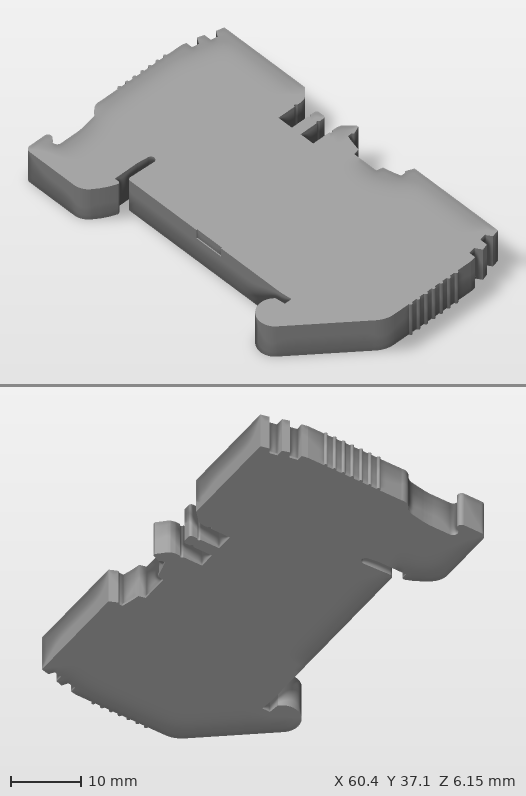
import cadquery as cq
import math

THICKNESS = 6.15
HEIGHT = 37.07
LEFT_WALL = 0.58
RIGHT_WALL = 60.0
BODY_MIDDLE = (LEFT_WALL + RIGHT_WALL) / 2
SHOULDER = 31.05
RAIL_SEAT = 6.3

TOOTH_COUNT = 7
TOOTH_PITCH = 1.5
TOOTH_TOP_Y = 27.1
TOOTH_BASE = 0.6
TOOTH_HEIGHT = 0.35
FLANK_MIDDLE_OUT = 0.25
FLANK_MIDDLE_OFF = 0.21

SLOT_FLOOR = 30.15
SLOT_LEFT = 20.55
POST_LEFT = 23.27
POST_RIGHT = 25.09
SLOT_RIGHT = 27.64
POST_TOP = 35.07
POST_CORNER = 0.45
DENT_Y = 33.6
DENT_RADIUS = 0.27

LEFT_MOUTH = [(18.75, HEIGHT), (20.15, 35.75), (20.4, 35.4), (SLOT_LEFT, 34.7)]
RIGHT_MOUTH = [(SLOT_RIGHT, 34.7), (27.8, 35.4), (28.05, 35.75), (29.35, HEIGHT)]

SADDLE_X = 35.45
SADDLE_MOUTH = 5.75
SADDLE_LIP = 5.2
SADDLE_SEAT = 5.45
POCKET_TOP = 2.5
POCKET_FLOOR = 2.25
LIP_Y = 35.75
SEAT_TOP_Y = 35.4
SEAT_OUTER_Y = 34.9
SEAT_INNER_Y = 34.15
POCKET_FLOOR_Y = 33.07
SEAT_RADIUS = 15.0

LIP_THICKNESS = 0.36
LIP_WIDTH = 0.18

FOOT_CORNER = 0.9
BUMP_RADIUS = 0.67
BUMP_Y = 3.83
PIT_RADIUS = 0.75
FOOT_NECK = 2.72
FOOT_TOP = 5.05
FOOT_LENGTH = 10.0
SOLE_CURVE_MIDDLE = (11.2, 0.28)
SOLE_CURVE_END = (12.2, 1.07)
TOE_CURVE_MIDDLE = (13.3, 2.7)
TOE_TIP = [(14.0, FOOT_TOP), (14.2, 4.7)]

NECK_TOP_Y = 7.4
NECK_CURVE_END = (2.6, 9.0)
WAIST_START = (2.2, 11.2)
WAIST_TURN = (1.3, 12.48)
WAIST_END = (LEFT_WALL, 14.1)

RELIEF_LEFT = 13.1
RELIEF_RADIUS = 0.63
RELIEF_X = 13.95
RELIEF_Y = 11.34
RELIEF_TAPER_Y = 9.6
RAIL_CORNER = (14.4, RAIL_SEAT)
RAIL_CORNER_RADIUS = 0.5

HOOK_X = 47.95
HOOK_Y = 2.98
HOOK_RADIUS = 2.8
HOOK_SLOPE = 50.5
HOOK_NOSE_ANGLE = 134.0
HOOK_MIDDLE_ANGLE = -130.0
FLANK_END = (59.0, 12.15)
WALL_END_Y = 14.9
HOOK_THROAT_X = 47.7
HOOK_THROAT_Y = 5.2
RAMP_START_X = 45.8
RAMP_RISE = 0.22

RECESS_LEFT = 28.5
RECESS_LENGTH = 5.0
RECESS_HEIGHT = 1.67
RECESS_DEPTH = 0.18

LOWER_NOTCH = ((1.75, SHOULDER), (1.98, 32.3))
UPPER_NOTCH = ((2.55, 33.98), (2.8, 35.2))
CORNER_STEPS = [
    (LEFT_WALL, 30.1),
    (0.75, SHOULDER),
    *LOWER_NOTCH,
    (1.05, 32.88),
    (1.4, 33.98),
    *UPPER_NOTCH,
    (1.98, 35.75),
    (2.3, HEIGHT),
]


def mirrored(points):
    """Mirror points about the middle of the body and reverse their order."""
    return [(2 * BODY_MIDDLE - x, y) for x, y in reversed(points)]


def on_circle(x, y, radius, angle):
    """Point on a circle at an angle given in degrees."""
    turn = math.radians(angle)
    return (x + radius * math.cos(turn), y + radius * math.sin(turn))


def add_lines(sketch, points):
    """Draw straight lines through a list of points."""
    for point in points:
        sketch = sketch.lineTo(*point)
    return sketch


def saddle_point(half_width, y):
    """Point at a signed distance from the middle of the saddle."""
    return (SADDLE_X + half_width, y)


def add_seat(sketch, drop):
    """Draw the curved seat and its pocket from left to right, lowered by drop."""
    circle_y = SEAT_INNER_Y + math.sqrt(SEAT_RADIUS**2 - POCKET_TOP**2)
    middle = (SADDLE_SEAT + POCKET_TOP) / 2
    middle_y = circle_y - math.sqrt(SEAT_RADIUS**2 - middle**2)
    return (
        sketch.lineTo(*saddle_point(-SADDLE_SEAT, SEAT_OUTER_Y - drop))
        .threePointArc(
            saddle_point(-middle, middle_y - drop),
            saddle_point(-POCKET_TOP, SEAT_INNER_Y - drop),
        )
        .lineTo(*saddle_point(-POCKET_FLOOR, POCKET_FLOOR_Y - drop))
        .lineTo(*saddle_point(POCKET_FLOOR, POCKET_FLOOR_Y - drop))
        .lineTo(*saddle_point(POCKET_TOP, SEAT_INNER_Y - drop))
        .threePointArc(
            saddle_point(middle, middle_y - drop),
            saddle_point(SADDLE_SEAT, SEAT_OUTER_Y - drop),
        )
    )


def add_saddle(sketch):
    """Draw the saddle from its left mouth corner to its right mouth corner."""
    sketch = (
        sketch.lineTo(*saddle_point(-SADDLE_MOUTH, HEIGHT))
        .lineTo(*saddle_point(-SADDLE_LIP, LIP_Y))
        .lineTo(*saddle_point(-SADDLE_SEAT, SEAT_TOP_Y))
    )
    return (
        add_seat(sketch, 0)
        .lineTo(*saddle_point(SADDLE_SEAT, SEAT_TOP_Y))
        .lineTo(*saddle_point(SADDLE_LIP, LIP_Y))
        .lineTo(*saddle_point(SADDLE_MOUTH, HEIGHT))
    )


def add_upper_edge(sketch):
    """Draw from the left wall over the slots and the saddle to the right wall."""
    sketch = add_lines(sketch, CORNER_STEPS + LEFT_MOUTH)
    sketch = (
        sketch.lineTo(SLOT_LEFT, SLOT_FLOOR)
        .lineTo(POST_LEFT, SLOT_FLOOR)
        .lineTo(POST_LEFT, POST_TOP - POST_CORNER)
        .tangentArcPoint((POST_LEFT + POST_CORNER, POST_TOP), relative=False)
        .lineTo(POST_RIGHT - POST_CORNER, POST_TOP)
        .tangentArcPoint((POST_RIGHT, POST_TOP - POST_CORNER), relative=False)
        .lineTo(POST_RIGHT, SLOT_FLOOR)
        .lineTo(SLOT_RIGHT, SLOT_FLOOR)
    )
    sketch = add_saddle(add_lines(sketch, RIGHT_MOUTH))
    return add_lines(sketch, mirrored(CORNER_STEPS))


def add_hook(sketch):
    """Draw from the right wall down around the rail hook to the straight underside."""
    return (
        sketch.lineTo(RIGHT_WALL, WALL_END_Y)
        .tangentArcPoint(FLANK_END, relative=False)
        .lineTo(*on_circle(HOOK_X, HOOK_Y, HOOK_RADIUS, HOOK_SLOPE - 90))
        .threePointArc(
            on_circle(HOOK_X, HOOK_Y, HOOK_RADIUS, HOOK_MIDDLE_ANGLE),
            on_circle(HOOK_X, HOOK_Y, HOOK_RADIUS, HOOK_NOSE_ANGLE),
        )
        .lineTo(HOOK_THROAT_X, HOOK_THROAT_Y)
        .lineTo(HOOK_THROAT_X, RAIL_SEAT + RAMP_RISE)
        .lineTo(RAMP_START_X, RAIL_SEAT)
    )


def add_foot(sketch):
    """Draw from the straight underside around the relief slot and the foot."""
    rail_x, rail_y = RAIL_CORNER
    pit_x = FOOT_NECK - PIT_RADIUS
    pit_y = BUMP_Y + math.sqrt((BUMP_RADIUS + PIT_RADIUS) ** 2 - (pit_x - BUMP_RADIUS) ** 2)
    pit_angle = math.degrees(math.atan2(pit_y - BUMP_Y, pit_x - BUMP_RADIUS))
    return (
        sketch.lineTo(rail_x + RAIL_CORNER_RADIUS, rail_y)
        .tangentArcPoint((rail_x, rail_y + RAIL_CORNER_RADIUS), relative=False)
        .lineTo(RELIEF_X + RELIEF_RADIUS, RELIEF_Y)
        .threePointArc((RELIEF_X, RELIEF_Y + RELIEF_RADIUS), (RELIEF_X - RELIEF_RADIUS, RELIEF_Y))
        .lineTo(RELIEF_LEFT, RELIEF_TAPER_Y)
        .lineTo(RELIEF_LEFT, FOOT_TOP)
        .lineTo(*TOE_TIP[0])
        .lineTo(*TOE_TIP[1])
        .threePointArc(TOE_CURVE_MIDDLE, SOLE_CURVE_END)
        .threePointArc(SOLE_CURVE_MIDDLE, (FOOT_LENGTH, 0))
        .lineTo(FOOT_CORNER, 0)
        .tangentArcPoint((0, FOOT_CORNER), relative=False)
        .lineTo(0, BUMP_Y)
        .threePointArc(
            (BUMP_RADIUS, BUMP_Y + BUMP_RADIUS),
            on_circle(BUMP_RADIUS, BUMP_Y, BUMP_RADIUS, pit_angle),
        )
        .threePointArc((pit_x, pit_y - PIT_RADIUS), (FOOT_NECK, pit_y))
        .lineTo(FOOT_NECK, NECK_TOP_Y)
        .tangentArcPoint(NECK_CURVE_END, relative=False)
        .lineTo(*WAIST_START)
        .tangentArcPoint(WAIST_TURN, relative=False)
        .tangentArcPoint(WAIST_END, relative=False)
        .close()
    )


def make_body():
    sketch = cq.Workplane("XY").moveTo(*WAIST_END)
    return add_foot(add_hook(add_upper_edge(sketch))).extrude(THICKNESS)


def make_tooth(wall_x, y, outward):
    """Pointed tooth with bulging flanks; outward is -1 on the left wall and 1 on the right."""
    root_x = wall_x - outward * TOOTH_HEIGHT
    middle_x = wall_x + outward * FLANK_MIDDLE_OUT
    tip = (wall_x + outward * TOOTH_HEIGHT, y)
    low = y - TOOTH_BASE / 2
    high = y + TOOTH_BASE / 2
    return (
        cq.Workplane("XY")
        .moveTo(root_x, low)
        .lineTo(wall_x, low)
        .threePointArc((middle_x, y - FLANK_MIDDLE_OFF), tip)
        .threePointArc((middle_x, y + FLANK_MIDDLE_OFF), (wall_x, high))
        .lineTo(root_x, high)
        .close()
        .extrude(THICKNESS)
    )


def add_teeth(body):
    """Row of grip teeth on each side wall."""
    for index in range(TOOTH_COUNT):
        y = TOOTH_TOP_Y - index * TOOTH_PITCH
        body = body.union(make_tooth(LEFT_WALL, y, -1))
        body = body.union(make_tooth(RIGHT_WALL, y, 1))
    return body


def cut_dents(body):
    """Round latch dents in both walls of the two slots."""
    centers = [(x, DENT_Y) for x in (SLOT_LEFT, POST_LEFT, POST_RIGHT, SLOT_RIGHT)]
    return body.cut(cq.Workplane("XY").pushPoints(centers).circle(DENT_RADIUS).extrude(THICKNESS))


def lip_plane():
    """Workplane on the upper side of the thin bottom lip."""
    return cq.Workplane("XY", origin=(0, 0, LIP_THICKNESS))


def cut_above_lip(body, outline):
    """Cut an outline through everything above the thin bottom lip."""
    return body.cut(outline.extrude(THICKNESS - LIP_THICKNESS))


def cut_saddle_lip(body):
    """Lower the seat and the pocket floor by the lip width."""
    start = lip_plane().moveTo(*saddle_point(-SADDLE_SEAT, SEAT_OUTER_Y))
    outline = add_seat(start, LIP_WIDTH).lineTo(*saddle_point(SADDLE_SEAT, SEAT_OUTER_Y)).close()
    return cut_above_lip(body, outline)


def cut_notch_lips(body):
    """Set the walls of the four corner notches back by the lip width."""
    for low, high in (LOWER_NOTCH, UPPER_NOTCH):
        wall = [low, (low[0] + LIP_WIDTH, low[1]), (high[0] + LIP_WIDTH, high[1]), high]
        for outline in (wall, mirrored(wall)):
            body = cut_above_lip(body, lip_plane().polyline(outline).close())
    return body


def cut_underside_recess(body):
    recess = cq.Workplane("XY").box(RECESS_LENGTH, RECESS_DEPTH, RECESS_HEIGHT, centered=False)
    return body.cut(recess.translate((RECESS_LEFT, RAIL_SEAT, THICKNESS - RECESS_HEIGHT)))


result = make_body()
result = add_teeth(result)
result = cut_dents(result)
result = cut_saddle_lip(result)
result = cut_notch_lips(result)
result = cut_underside_recess(result)